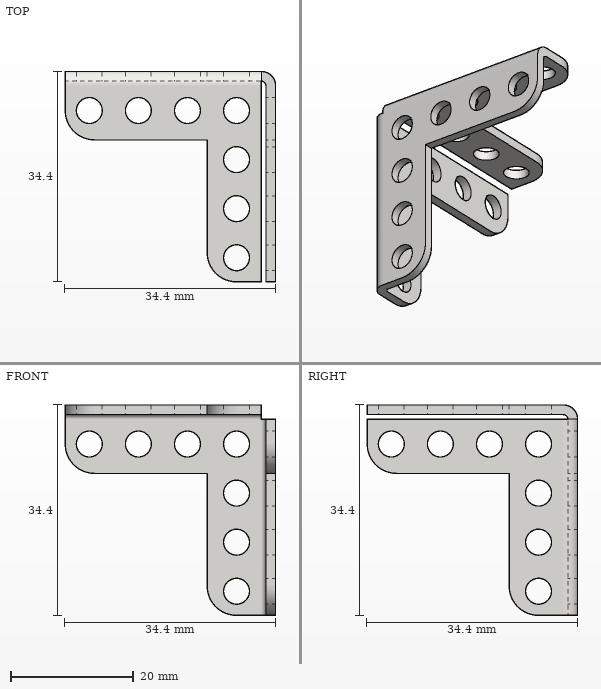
import cadquery as cq
import math

size = 34.4
thickness = 1.6
bend_outer = 2.35
arm_width = 11.2
end_radius = 4.8
hole_diameter = 4.2
hole_offset = 6.4
hole_pitch = 8.0
holes_per_arm = 4

bend_inner = bend_outer - thickness
bend_length = size - bend_outer


def plate(plane, depth):
    """L-shaped flat plate with one row of holes along each arm."""
    arc_mid = end_radius * (1 - math.sqrt(0.5))
    near_end = -size + end_radius
    near_edge = -arm_width + end_radius
    body = (
        cq.Workplane(plane)
        .moveTo(-bend_outer, -bend_outer)
        .lineTo(-size, -bend_outer)
        .lineTo(-size, near_edge)
        .threePointArc((-size + arc_mid, -arm_width + arc_mid), (near_end, -arm_width))
        .lineTo(-arm_width, -arm_width)
        .lineTo(-arm_width, near_end)
        .threePointArc((-arm_width + arc_mid, -size + arc_mid), (near_edge, -size))
        .lineTo(-bend_outer, -size)
        .close()
        .extrude(depth)
    )
    steps = [-hole_offset - i * hole_pitch for i in range(holes_per_arm)]
    centers = [(step, -hole_offset) for step in steps]
    centers += [(-hole_offset, step) for step in steps[1:]]
    holes = cq.Workplane(plane).pushPoints(centers).circle(hole_diameter / 2).extrude(depth)
    return body.cut(holes)


def bend(plane):
    """Quarter-round fold joining two plates, stopping short of the open corner."""
    center = -bend_outer
    outer_mid = center + bend_outer * math.sqrt(0.5)
    inner_mid = center + bend_inner * math.sqrt(0.5)
    return (
        cq.Workplane(plane)
        .workplane(offset=-size)
        .moveTo(0, center)
        .threePointArc((outer_mid, outer_mid), (center, 0))
        .lineTo(center, -thickness)
        .threePointArc((inner_mid, inner_mid), (-thickness, center))
        .close()
        .extrude(bend_length)
    )


top_plate = plate("XY", -thickness)
back_plate = plate("XZ", thickness)
side_plate = plate("YZ", -thickness)
top_to_back_bend = bend("YZ")
back_to_side_bend = bend("XY")

result = (
    back_plate
    .union(top_to_back_bend)
    .union(top_plate)
    .union(back_to_side_bend)
    .union(side_plate)
)